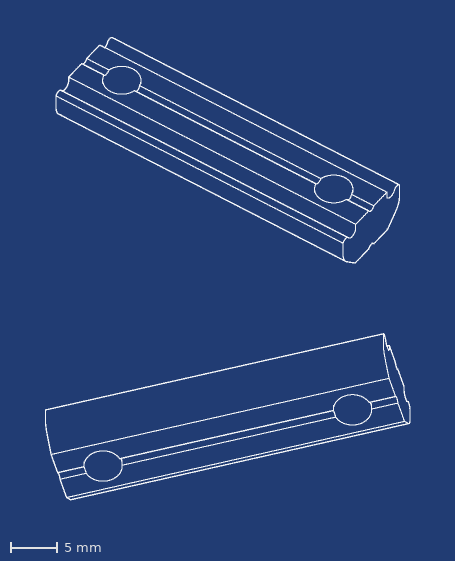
import cadquery as cq
import math

length = 38.0
width = 10.6
height = 6.0
half_width = width / 2
top = height / 2
bottom = -height / 2

land_half_width = 2.93
side_groove_radius = 0.72
groove_center_y = land_half_width + side_groove_radius
side_groove_bottom_depth = 1.33
groove_center_z = top - side_groove_bottom_depth + side_groove_radius
lip_crest_drop = 0.6
lip_crest_z = top - lip_crest_drop
lip_edge_drop = 0.3
lip_edge_z = lip_crest_z - lip_edge_drop
lip_inner_y = groove_center_y + math.sqrt(
    side_groove_radius**2 - (groove_center_z - lip_edge_z) ** 2
)
lip_center_y = (lip_inner_y + half_width) / 2

flank_start_depth = 2.75
flank_radius = 2.47
flank_start_z = top - flank_start_depth
slope_angle = math.radians(45)

center_groove_half_width = 0.45
center_groove_depth = 0.35

hole_diameter = 4.15
hole_spacing = 28.05


def flank_point(angle):
    """Point on the right flank arc, with the angle measured down from horizontal."""
    y = half_width - flank_radius * (1 - math.cos(angle))
    z = flank_start_z - flank_radius * math.sin(angle)
    return y, z


def make_bar():
    """Extrude the cross-section, drawn on its right half and mirrored."""
    slope_start_y, slope_start_z = flank_point(slope_angle)
    bottom_half_width = slope_start_y - (slope_start_z - bottom) / math.tan(slope_angle)
    half_bar = (
        cq.Workplane("YZ", origin=(-length / 2, 0, 0))
        .moveTo(0, bottom)
        .lineTo(bottom_half_width, bottom)
        .lineTo(slope_start_y, slope_start_z)
        .threePointArc(flank_point(slope_angle / 2), (half_width, flank_start_z))
        .lineTo(half_width, lip_edge_z)
        .threePointArc((lip_center_y, lip_crest_z), (lip_inner_y, lip_edge_z))
        .threePointArc(
            (groove_center_y, top - side_groove_bottom_depth),
            (land_half_width, groove_center_z),
        )
        .lineTo(land_half_width, top)
        .lineTo(0, top)
        .close()
        .extrude(length)
    )
    return half_bar.union(half_bar.mirror("XZ"))


def make_center_groove(face_z, outward):
    """Cylinder that cuts the central groove into a face; outward is +1 (top) or -1 (bottom)."""
    radius = (center_groove_half_width**2 + center_groove_depth**2) / (2 * center_groove_depth)
    axis_z = face_z + outward * (radius - center_groove_depth)
    return (
        cq.Workplane("YZ", origin=(-length / 2, 0, axis_z))
        .circle(radius)
        .extrude(length)
    )


def make_holes():
    """Pair of cylinders passing through the full height."""
    return (
        cq.Workplane("XY", origin=(0, 0, bottom))
        .pushPoints([(-hole_spacing / 2, 0), (hole_spacing / 2, 0)])
        .circle(hole_diameter / 2)
        .extrude(height)
    )


result = make_bar()
for face_z, outward in ((top, 1), (bottom, -1)):
    result = result.cut(make_center_groove(face_z, outward))
result = result.cut(make_holes())